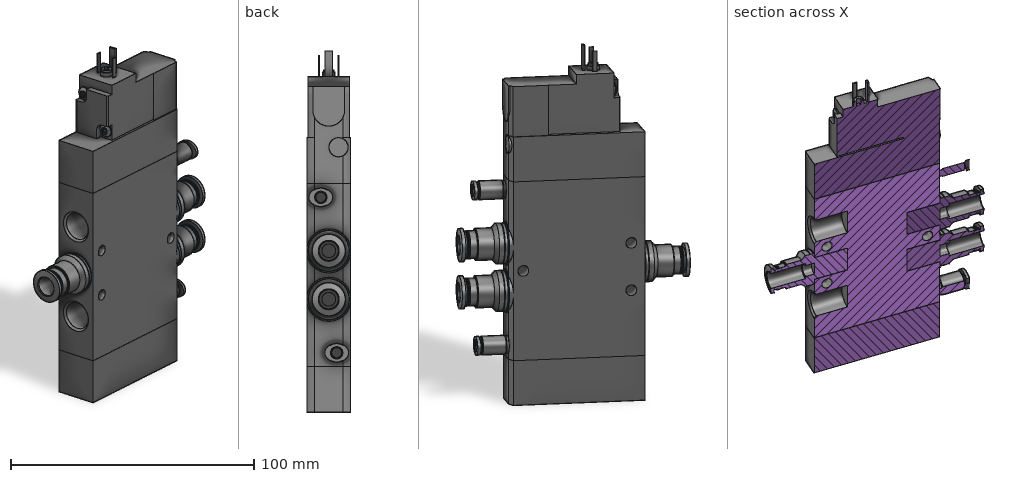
import cadquery as cq


VALVE_WIDTH = 18.0
VALVE_HEIGHT = 112.9
REAR_FACE_Y = 56.5
REAR_CHAMFER_DEPTH = 1.3
REAR_FLAT_HALF_WIDTH = 5.8
RAISED_FACE_Y = 56.7
RAISED_START_Y = REAR_FACE_Y - REAR_CHAMFER_DEPTH
RAISED_LENGTH = RAISED_FACE_Y - RAISED_START_Y
END_CAP_HEIGHT = 18.9
UPPER_CAP_Z = VALVE_HEIGHT - END_CAP_HEIGHT
MID_Z = VALVE_HEIGHT / 2

PORT_DIAMETER = 11.5
PORT_MOUTH_DIAMETER = 13.2
PORT_DEPTH = 14.8
FRONT_PORT_PITCH = 20.0
REAR_PORT_OFFSET = 10.0
REAR_BOSS_DIAMETER = 18.1
FIXING_HOLE_DIAMETER = 4.5
FRONT_FIXING_Y = 5.8
FRONT_FIXING_OFFSET = 10.0
REAR_FIXING_Y = 51.0

PILOT_PORT_X = 3.3
PILOT_PORT_OFFSET = 32.0
PILOT_PORT_DIAMETER = 5.0
PILOT_PORT_DEPTH = 6.0

OVERRIDE_DIAMETER = 7.9
OVERRIDE_X = -4.0
PILOT_WIDTH = 17.1
PILOT_BASE_WIDTH = 17.2
PILOT_TOP_Z = 134.0
COIL_REAR_Y = 40.2
PAD_HALF_WIDTH = 6.5
PAD_ROUND_Z = 124.1

COIL_GAP = 0.5
COIL_BOTTOM_Z = VALVE_HEIGHT + COIL_GAP
COIL_TOP_Z = 138.0
COIL_FACE_Y = 12.9
COVER_FACE_Y = 10.2
TOWER_REAR_Y = 28.7
COVER_CHAMFER_X = 0.7
COVER_CHAMFER_Y = 0.5

SCREW_X = 5.6
UPPER_SCREW_Z = 130.5
LOWER_SCREW_Z = 117.2
SCREW_HEAD_DIAMETER = 5.6
SCREW_TIP_DIAMETER = 3.0
SCREW_SOCKET_DIAMETER = 2.0
SCREW_SOCKET_DEPTH = 0.6
SCREW_RIM_HEIGHT = 0.6
SCREW_HEAD_HEIGHT = 1.3
SCREW_RECESS_RADIUS = 3.0

CONNECTOR_Y = 20.0
COLLAR_DIAMETER = 5.0
COLLAR_HEIGHT = 1.8
NUT_DIAMETER = 4.2
NUT_HEIGHT = 0.9
NUT_HOLE_DIAMETER = 2.0
BLADE_X = 4.0
BLADE_THICKNESS = 0.5
BLADE_WIDTH = 1.8
BLADE_TOP_Z = 146.5
EARTH_BLADE_Y = 24.2
EARTH_BLADE_WIDTH = 3.1
EARTH_BLADE_THICKNESS = 0.9
EARTH_BLADE_TOP_Z = 148.5

FLANGE_DIAMETER = 17.0
FLANGE_FOOT_DIAMETER = 16.6
FLANGE_FOOT_LENGTH = 0.5
FLANGE_GROOVE_START = 1.6
FLANGE_GROOVE_WIDTH = 0.3
FLANGE_LENGTH = 4.0
BARREL_DIAMETER = 13.4
BARREL_START = 5.8
BARREL_LENGTH = 12.5
BARREL_EDGE = 0.3
NECK_DIAMETER = 11.6
NECK_GROOVE_DIAMETER = 11.1
NECK_GROOVE_STARTS = (15.6, 16.3)
NECK_GROOVE_WIDTH = 0.5
NECK_LENGTH = 17.0
STEM_DIAMETER = 10.2
RING_START = 17.8
RING_DIAMETER = 13.8
RING_END = 19.3
FITTING_LENGTH = 19.8
TUBE_DIAMETER = 7.9
TUBE_MOUTH_DIAMETER = 8.6
TUBE_STOP_DIAMETER = 5.6
TUBE_STOP = 4.0

SMALL_BARREL_DIAMETER = 7.9
SMALL_FOOT_DIAMETER = 7.4
SMALL_FOOT_LENGTH = 0.9
SMALL_BARREL_START = 1.3
SMALL_BARREL_LENGTH = 11.1
SMALL_BARREL_EDGE = 0.3
SMALL_STEM_DIAMETER = 5.0
SMALL_FITTING_LENGTH = 13.8
SMALL_RING_START = 12.0
SMALL_RING_END = 13.4
SMALL_RING_WIDTH = 9.8
SMALL_RING_HEIGHT = 7.7
SMALL_TUBE_DIAMETER = 4.2


def box(x_range, y_range, z_range):
    """Box between two limits on each axis."""
    size = [high - low for low, high in (x_range, y_range, z_range)]
    corner = (x_range[0], y_range[0], z_range[0])
    return cq.Workplane("XY").box(*size, centered=False).translate(corner)


def cylinder_y(diameter, x, y, z, length):
    """Cylinder along +Y whose first end is centred on (x, y, z)."""
    return cq.Workplane(cq.Solid.makeCylinder(diameter / 2, length, cq.Vector(x, y, z), cq.Vector(0, 1, 0)))


def cone_y(start_diameter, end_diameter, x, y, z, length):
    """Cone along +Y whose first end is centred on (x, y, z)."""
    return cq.Workplane(
        cq.Solid.makeCone(
            start_diameter / 2, end_diameter / 2, length, cq.Vector(x, y, z), cq.Vector(0, 1, 0)
        )
    )


def rear_chamfered_block(width, front_y, bottom_z, top_z):
    """Upright block with shallow chamfers along its two rear edges."""
    half = width / 2
    outline = [
        (-half, front_y),
        (half, front_y),
        (half, REAR_FACE_Y - REAR_CHAMFER_DEPTH),
        (REAR_FLAT_HALF_WIDTH, REAR_FACE_Y),
        (-REAR_FLAT_HALF_WIDTH, REAR_FACE_Y),
        (-half, REAR_FACE_Y - REAR_CHAMFER_DEPTH),
    ]
    return cq.Workplane("XY").workplane(offset=bottom_z).polyline(outline).close().extrude(top_z - bottom_z)


def make_housing():
    """Middle block of the valve, between the two end caps."""
    half = VALVE_WIDTH / 2
    housing = rear_chamfered_block(VALVE_WIDTH, 0, END_CAP_HEIGHT, UPPER_CAP_Z)

    side_limits = box((-half, half), (0, RAISED_FACE_Y), (END_CAP_HEIGHT, UPPER_CAP_Z))
    rear_port_heights = [MID_Z - REAR_PORT_OFFSET, MID_Z + REAR_PORT_OFFSET]
    for z in rear_port_heights:
        boss = cylinder_y(REAR_BOSS_DIAMETER, 0, RAISED_START_Y, z, RAISED_LENGTH)
        housing = housing.union(boss.intersect(side_limits))

    mouth_depth = (PORT_MOUTH_DIAMETER - PORT_DIAMETER) / 2
    for z in (MID_Z - FRONT_PORT_PITCH, MID_Z + FRONT_PORT_PITCH):
        housing = housing.cut(cylinder_y(PORT_DIAMETER, 0, 0, z, PORT_DEPTH))
        housing = housing.cut(cone_y(PORT_MOUTH_DIAMETER, PORT_DIAMETER, 0, 0, z, mouth_depth))
    housing = housing.cut(cylinder_y(PORT_DIAMETER, 0, 0, MID_Z, PORT_DEPTH))
    for z in rear_port_heights:
        housing = housing.cut(cylinder_y(PORT_DIAMETER, 0, RAISED_FACE_Y - PORT_DEPTH, z, PORT_DEPTH))
    for side in (-1, 1):
        z = MID_Z + side * PILOT_PORT_OFFSET
        start_y = REAR_FACE_Y - PILOT_PORT_DEPTH
        hole = cylinder_y(PILOT_PORT_DIAMETER, side * PILOT_PORT_X, start_y, z, PILOT_PORT_DEPTH)
        housing = housing.cut(hole)

    fixing_points = [
        (FRONT_FIXING_Y, MID_Z - FRONT_FIXING_OFFSET),
        (FRONT_FIXING_Y, MID_Z + FRONT_FIXING_OFFSET),
        (REAR_FIXING_Y, MID_Z),
    ]
    fixing_holes = (
        cq.Workplane("YZ").pushPoints(fixing_points).circle(FIXING_HOLE_DIAMETER / 2).extrude(half, both=True)
    )
    return housing.cut(fixing_holes)


def make_lower_cap():
    return rear_chamfered_block(VALVE_WIDTH, 0, 0, END_CAP_HEIGHT)


def make_pilot_base():
    """Rear part of the pilot, with a raised pad that ends in a semicircle at the bottom."""
    base = rear_chamfered_block(PILOT_BASE_WIDTH, COIL_REAR_Y, VALVE_HEIGHT, PILOT_TOP_Z)
    pad = box(
        (-PAD_HALF_WIDTH, PAD_HALF_WIDTH), (RAISED_START_Y, RAISED_FACE_Y), (PAD_ROUND_Z, PILOT_TOP_Z)
    )
    pad = pad.union(cylinder_y(2 * PAD_HALF_WIDTH, 0, RAISED_START_Y, PAD_ROUND_Z, RAISED_LENGTH))
    return base.union(pad)


def make_cover():
    """Front cover of the coil: chamfered side edges and two corner recesses for the screws."""
    half = PILOT_WIDTH / 2
    outline = [
        (-half, COIL_FACE_Y),
        (-half, COVER_FACE_Y + COVER_CHAMFER_Y),
        (-half + COVER_CHAMFER_X, COVER_FACE_Y),
        (half - COVER_CHAMFER_X, COVER_FACE_Y),
        (half, COVER_FACE_Y + COVER_CHAMFER_Y),
        (half, COIL_FACE_Y),
    ]
    cover_height = PILOT_TOP_Z - COIL_BOTTOM_Z
    cover = cq.Workplane("XY").workplane(offset=COIL_BOTTOM_Z).polyline(outline).close().extrude(cover_height)

    recess_x = SCREW_X - SCREW_RECESS_RADIUS
    depth = (COVER_FACE_Y, COIL_FACE_Y)
    upper_recess = box((-half, -recess_x), depth, (UPPER_SCREW_Z - SCREW_RECESS_RADIUS, PILOT_TOP_Z))
    lower_recess = box((recess_x, half), depth, (COIL_BOTTOM_Z, LOWER_SCREW_Z + SCREW_RECESS_RADIUS))
    cover = cover.cut(upper_recess.edges("|Y and >X and <Z").fillet(SCREW_RECESS_RADIUS))
    return cover.cut(lower_recess.edges("|Y and <X and >Z").fillet(SCREW_RECESS_RADIUS))


def make_screw_head(x, z):
    rim_y = COIL_FACE_Y - SCREW_RIM_HEIGHT
    tip_y = COIL_FACE_Y - SCREW_HEAD_HEIGHT
    rim = cylinder_y(SCREW_HEAD_DIAMETER, x, rim_y, z, SCREW_RIM_HEIGHT)
    crown = cone_y(SCREW_TIP_DIAMETER, SCREW_HEAD_DIAMETER, x, tip_y, z, rim_y - tip_y)
    socket = cylinder_y(SCREW_SOCKET_DIAMETER, x, tip_y, z, SCREW_SOCKET_DEPTH)
    return rim.union(crown).cut(socket)


def make_connector():
    """Threaded collar and three contact blades standing on the coil's tower."""
    nut_height = COLLAR_HEIGHT + NUT_HEIGHT
    connector = (
        cq.Workplane("XY", origin=(0, CONNECTOR_Y, COIL_TOP_Z))
        .circle(COLLAR_DIAMETER / 2)
        .extrude(COLLAR_HEIGHT)
        .faces(">Z")
        .workplane()
        .circle(NUT_DIAMETER / 2)
        .extrude(NUT_HEIGHT)
        .faces(">Z")
        .workplane()
        .hole(NUT_HOLE_DIAMETER, nut_height)
    )
    blade = cq.Workplane("XY", origin=(0, CONNECTOR_Y, COIL_TOP_Z))
    blade = blade.pushPoints([(-BLADE_X, 0), (BLADE_X, 0)])
    blade = blade.rect(BLADE_THICKNESS, BLADE_WIDTH).extrude(BLADE_TOP_Z - COIL_TOP_Z)
    earth_blade = (
        cq.Workplane("XY", origin=(0, EARTH_BLADE_Y, COIL_TOP_Z))
        .rect(EARTH_BLADE_WIDTH, EARTH_BLADE_THICKNESS)
        .extrude(EARTH_BLADE_TOP_Z - COIL_TOP_Z)
    )
    return connector, blade, earth_blade


def make_coil():
    half = PILOT_WIDTH / 2
    coil = box((-half, half), (COIL_FACE_Y, COIL_REAR_Y), (COIL_BOTTOM_Z, PILOT_TOP_Z))
    coil = coil.union(box((-half, half), (COIL_FACE_Y, TOWER_REAR_Y), (PILOT_TOP_Z, COIL_TOP_Z)))
    coil = coil.union(make_cover())
    coil = coil.union(make_screw_head(-SCREW_X, UPPER_SCREW_Z))
    coil = coil.union(make_screw_head(SCREW_X, LOWER_SCREW_Z))
    for piece in make_connector():
        coil = coil.union(piece)
    return coil


def make_pilot_cap():
    """Upper end cap in one piece with the pilot and coil, with a round manual-override pad."""
    cap = rear_chamfered_block(VALVE_WIDTH, 0, UPPER_CAP_Z, VALVE_HEIGHT)
    override_z = VALVE_HEIGHT - OVERRIDE_DIAMETER / 2
    cap = cap.union(cylinder_y(OVERRIDE_DIAMETER, OVERRIDE_X, RAISED_START_Y, override_z, RAISED_LENGTH))
    return cap.union(make_pilot_base()).union(make_coil())


def turned_along_y(profile):
    """Solid of revolution about Y from (diameter, distance) steps, closed along the axis."""
    points = [(diameter / 2, distance) for diameter, distance in profile]
    points = [(0, points[0][1])] + points + [(0, points[-1][1])]
    return cq.Workplane("XY").polyline(points).close().revolve(360, (0, 0), (0, 1))


def make_large_fitting():
    """Push-in fitting pointing along +Y, with its seat at the origin and its shank behind."""
    mouth_depth = (TUBE_MOUTH_DIAMETER - TUBE_DIAMETER) / 2
    fitting = turned_along_y([
        (PORT_DIAMETER, -PORT_DEPTH),
        (PORT_DIAMETER, 0),
        (FLANGE_FOOT_DIAMETER, 0),
        (FLANGE_FOOT_DIAMETER, FLANGE_FOOT_LENGTH),
        (FLANGE_DIAMETER, FLANGE_FOOT_LENGTH),
        (FLANGE_DIAMETER, FLANGE_GROOVE_START),
        (FLANGE_FOOT_DIAMETER, FLANGE_GROOVE_START + FLANGE_GROOVE_WIDTH / 2),
        (FLANGE_DIAMETER, FLANGE_GROOVE_START + FLANGE_GROOVE_WIDTH),
        (FLANGE_DIAMETER, FLANGE_LENGTH),
        (BARREL_DIAMETER, BARREL_START),
        (BARREL_DIAMETER, BARREL_LENGTH),
        (BARREL_DIAMETER - 2 * BARREL_EDGE, BARREL_LENGTH + BARREL_EDGE),
        (NECK_DIAMETER, BARREL_LENGTH + BARREL_EDGE),
        (NECK_DIAMETER, NECK_LENGTH),
        (STEM_DIAMETER, RING_START),
        (RING_DIAMETER, RING_START),
        (RING_DIAMETER, RING_END),
        (TUBE_MOUTH_DIAMETER, FITTING_LENGTH),
    ])
    for start in NECK_GROOVE_STARTS:
        groove = cylinder_y(RING_DIAMETER, 0, start, 0, NECK_GROOVE_WIDTH)
        fitting = fitting.cut(groove.cut(cylinder_y(NECK_GROOVE_DIAMETER, 0, start, 0, NECK_GROOVE_WIDTH)))
    tube_bore = turned_along_y([
        (TUBE_STOP_DIAMETER, 0),
        (TUBE_STOP_DIAMETER, TUBE_STOP),
        (TUBE_DIAMETER, TUBE_STOP),
        (TUBE_DIAMETER, FITTING_LENGTH - mouth_depth),
        (TUBE_MOUTH_DIAMETER, FITTING_LENGTH),
    ])
    return fitting.cut(tube_bore)


def make_small_fitting():
    """Small push-in fitting along +Y with an oval release ring, its seat at the origin."""
    fitting = turned_along_y([
        (PILOT_PORT_DIAMETER, -PILOT_PORT_DEPTH),
        (PILOT_PORT_DIAMETER, 0),
        (SMALL_FOOT_DIAMETER, 0),
        (SMALL_FOOT_DIAMETER, SMALL_FOOT_LENGTH),
        (SMALL_BARREL_DIAMETER, SMALL_BARREL_START),
        (SMALL_BARREL_DIAMETER, SMALL_BARREL_LENGTH - SMALL_BARREL_EDGE),
        (SMALL_BARREL_DIAMETER - 2 * SMALL_BARREL_EDGE, SMALL_BARREL_LENGTH),
        (SMALL_STEM_DIAMETER, SMALL_BARREL_LENGTH),
        (SMALL_STEM_DIAMETER, SMALL_FITTING_LENGTH),
    ])
    ring = (
        cq.Workplane("XZ", origin=(0, SMALL_RING_START, 0))
        .ellipse(SMALL_RING_WIDTH / 2, SMALL_RING_HEIGHT / 2)
        .extrude(SMALL_RING_START - SMALL_RING_END)
    )
    return fitting.union(ring).cut(cylinder_y(SMALL_TUBE_DIAMETER, 0, 0, 0, SMALL_FITTING_LENGTH))


housing = make_housing()
lower_cap = make_lower_cap()
pilot_cap = make_pilot_cap()

large_fitting = make_large_fitting()
front_fitting = large_fitting.rotate((0, 0, 0), (0, 0, 1), 180).translate((0, 0, MID_Z))
large_fittings = [front_fitting]
for side in (-1, 1):
    large_fittings.append(large_fitting.translate((0, RAISED_FACE_Y, MID_Z + side * REAR_PORT_OFFSET)))

small_fitting = make_small_fitting()
small_fittings = []
for side in (-1, 1):
    seat = (side * PILOT_PORT_X, REAR_FACE_Y, MID_Z + side * PILOT_PORT_OFFSET)
    small_fittings.append(small_fitting.translate(seat))

result = cq.Compound.makeCompound([
    housing.val(),
    lower_cap.val(),
    pilot_cap.val(),
    *[fitting.val() for fitting in large_fittings],
    *[fitting.val() for fitting in small_fittings],
])